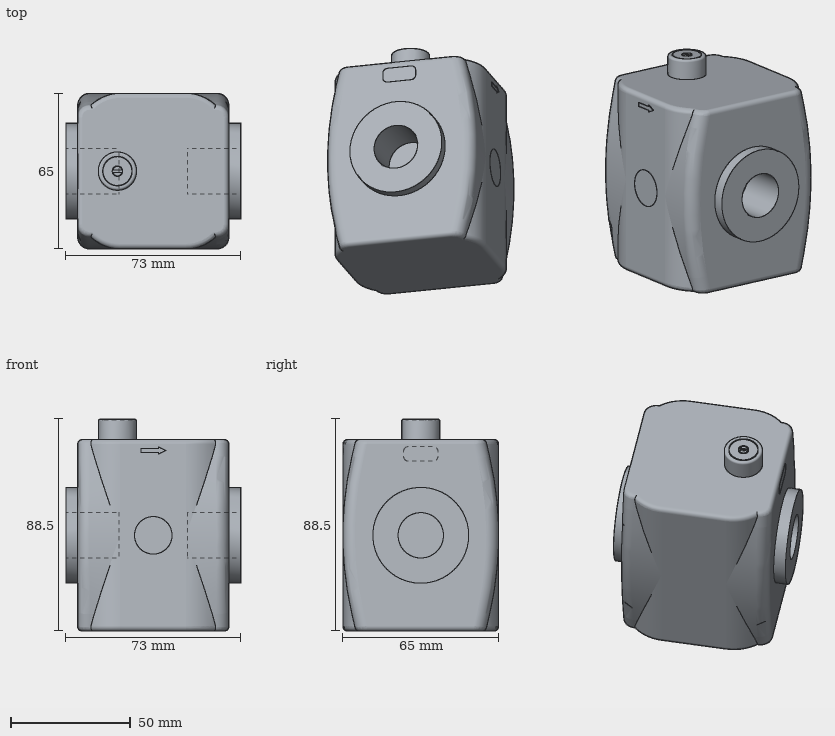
import cadquery as cq
import math

body_x = 63.1
body_y = 65.0
body_z = 80.0
edge_round = 2.0

core_corner_radius = 17.9

bow_radius = 146
bow_half_height = 33.0
shell_corner_radius = 5.05

overall_x = 73.0
flange_diameter = 40.0
bore_diameter = 18.9
bore_depth = 22.1

knob_x = -15.0
knob_diameter = 16.0
knob_height = 8.5
knob_round = 1.0
cover_groove_outer = 12.3
cover_groove_inner = 12.0
screw_groove_outer = 4.3
screw_groove_inner = 4.0
groove_depth = 0.4
screw_slot_width = 1.1

marking_depth = 0.1
disc_diameter = 15.7
label_width = 14.3
label_height = 6.1
label_corner_radius = 2.0
label_z = 34.0
arrow_depth = 0.3
arrow_z = 35.4
arrow_tail_x = -5.1
arrow_neck_x = 2.1
arrow_tip_x = 5.2
arrow_shaft_height = 1.7
arrow_head_height = 3.0


def round_ends(block):
    """Round the rims of the top and bottom faces."""
    return block.faces("<Z or >Z").edges().fillet(edge_round)


def make_core():
    core = cq.Workplane("XY").box(body_x, body_y, body_z)
    return round_ends(core.edges("|Z").fillet(core_corner_radius))


def make_shell():
    half_y = body_y / 2
    half_z = body_z / 2
    bow_angle = math.asin(bow_half_height / bow_radius)
    bow_end_y = half_y - bow_radius * (1 - math.cos(bow_angle))
    end_y = bow_end_y - (half_z - bow_half_height) * math.tan(bow_angle)
    shell = (
        cq.Workplane("YZ")
        .moveTo(end_y, -half_z)
        .lineTo(bow_end_y, -bow_half_height)
        .threePointArc((half_y, 0), (bow_end_y, bow_half_height))
        .lineTo(end_y, half_z)
        .lineTo(-end_y, half_z)
        .lineTo(-bow_end_y, bow_half_height)
        .threePointArc((-half_y, 0), (-bow_end_y, -bow_half_height))
        .lineTo(-end_y, -half_z)
        .close()
        .extrude(body_x / 2, both=True)
    )
    upright_edges = shell.faces("<X or >X").edges("not |Y")
    return round_ends(upright_edges.fillet(shell_corner_radius))


def make_flanges():
    return cq.Workplane("YZ").circle(flange_diameter / 2).extrude(overall_x / 2, both=True)


def make_bore(side):
    """Blind bore entering from the -X end (side = -1) or the +X end (side = 1)."""
    bore = cq.Workplane("YZ").workplane(offset=side * overall_x / 2)
    return bore.circle(bore_diameter / 2).extrude(-side * bore_depth)


def make_knob():
    base = cq.Workplane("XY").workplane(offset=body_z / 2).center(knob_x, 0)
    knob = base.circle(knob_diameter / 2).extrude(knob_height)
    knob = knob.faces(">Z").edges().fillet(knob_round)
    floor = base.workplane(offset=knob_height - groove_depth)
    for outer, inner in (
        (cover_groove_outer, cover_groove_inner),
        (screw_groove_outer, screw_groove_inner),
    ):
        knob = knob.cut(floor.circle(outer / 2).circle(inner / 2).extrude(groove_depth))
    slot = floor.rect(screw_groove_inner, screw_slot_width).extrude(groove_depth)
    return knob.cut(slot)


def make_front_disc():
    front = cq.Workplane("XZ", origin=(0, -body_y / 2, 0))
    return front.circle(disc_diameter / 2).extrude(-marking_depth)


def make_arrow():
    shaft = arrow_shaft_height / 2
    head = arrow_head_height / 2
    return (
        cq.Workplane("XZ", origin=(0, -body_y / 2, arrow_z))
        .moveTo(arrow_tail_x, -shaft)
        .lineTo(arrow_neck_x, -shaft)
        .lineTo(arrow_neck_x, -head)
        .lineTo(arrow_tip_x, 0)
        .lineTo(arrow_neck_x, head)
        .lineTo(arrow_neck_x, shaft)
        .lineTo(arrow_tail_x, shaft)
        .close()
        .extrude(-arrow_depth)
    )


def make_label():
    label = cq.Workplane("YZ", origin=(-body_x / 2, 0, label_z))
    label = label.rect(label_width, label_height).extrude(marking_depth)
    return label.edges("|X").fillet(label_corner_radius)


housing = make_core().union(make_shell()).union(make_flanges()).union(make_knob())
for end in (-1, 1):
    housing = housing.cut(make_bore(end))
result = housing.cut(make_front_disc()).cut(make_arrow()).cut(make_label())